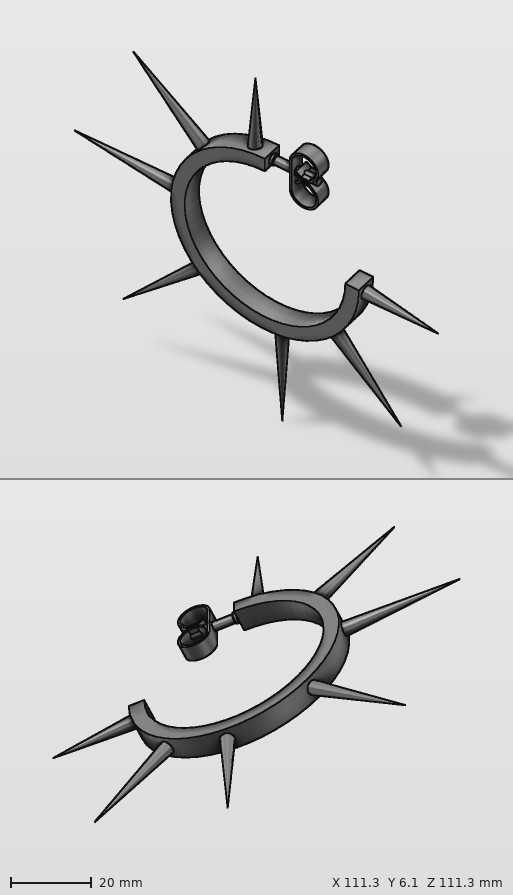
import cadquery as cq
import math

HOOP_OUTER_RADIUS = 28.8
HOOP_INNER_RADIUS = 24.6
HOOP_WIDTH = 6.1

SPIKE_RADIUS = 1.95
SPIKE_TIP_RADIUS = 0.06
SPIKE_SINK = 0.6
SPIKES = [
    ((-5.1, 28.3), (-5.1, 51.0)),
    ((-21.0, 19.7), (-42.5, 39.6)),
    ((-28.7, 1.3), (-60.4, 3.2)),
    ((-20.5, -20.4), (-45.5, -45.5)),
    ((3.1, -28.6), (3.1, -60.3)),
    ((19.5, -20.9), (39.5, -42.4)),
    ((28.5, -2.9), (50.9, -4.9)),
]

POST_HEIGHT = (HOOP_OUTER_RADIUS + HOOP_INNER_RADIUS) / 2
POST_RADIUS = 1.2
POST_LENGTH = 14.5
COLLAR_RADIUS = 1.6
COLLAR_LENGTH = 1.3
COLLAR_CHAMFER = 0.28

STRIP_THICKNESS = 0.7
CLUTCH_WIDTH = 4.5
LOOP_RADIUS = 4.06
LOOP_X = 11.4
LOOP_RISE = 4.6
LOOP_END_ANGLE = -35.0
NECK_RISE = 0.61
NECK_RIGHT_X = 13.0
NECK_LEFT_X = 10.3
LIP_X = 9.0
LIP_RISE = 1.7


def make_hoop():
    """Three-quarter ring, open in the +X +Z quarter."""
    ring = (
        cq.Workplane("XZ", origin=(0, HOOP_WIDTH / 2, 0))
        .circle(HOOP_OUTER_RADIUS)
        .circle(HOOP_INNER_RADIUS)
        .extrude(HOOP_WIDTH)
    )
    opening = cq.Workplane("XY").box(
        2 * HOOP_OUTER_RADIUS, 2 * HOOP_WIDTH, 2 * HOOP_OUTER_RADIUS, centered=(False, True, False)
    )
    return ring.cut(opening)


def make_spike(root, tip):
    """Tapered spike whose base is sunk slightly into the hoop."""
    root_point = cq.Vector(root[0], 0, root[1])
    axis = cq.Vector(tip[0], 0, tip[1]) - root_point
    direction = axis.normalized()
    base_point = root_point - direction * SPIKE_SINK
    length = axis.Length + SPIKE_SINK
    return cq.Solid.makeCone(SPIKE_RADIUS, SPIKE_TIP_RADIUS, length, base_point, direction)


def make_rod(radius, length):
    """Round rod on the post axis, starting at the hoop end face."""
    return cq.Workplane("YZ").center(0, POST_HEIGHT).circle(radius).extrude(length)


def make_earring():
    earring = make_hoop()
    for root, tip in SPIKES:
        earring = earring.union(cq.Workplane(obj=make_spike(root, tip)))
    collar = make_rod(COLLAR_RADIUS, COLLAR_LENGTH).faces("<X or >X").chamfer(COLLAR_CHAMFER)
    earring = earring.union(collar)
    return earring.union(make_rod(POST_RADIUS, POST_LENGTH))


def make_clutch():
    """Strip bent into a back plate, two loops and a pinched neck, bored for the post."""
    end_angle = math.radians(LOOP_END_ANGLE)
    loop_end_x = LOOP_X + LOOP_RADIUS * math.cos(end_angle)
    loop_end_rise = LOOP_RISE + LOOP_RADIUS * math.sin(end_angle)
    loop_top_rise = LOOP_RISE + LOOP_RADIUS
    plate_x = LOOP_X - LOOP_RADIUS
    strip = (
        cq.Workplane("XZ", origin=(0, CLUTCH_WIDTH / 2, POST_HEIGHT))
        .moveTo(LIP_X, LIP_RISE)
        .lineTo(NECK_LEFT_X, NECK_RISE)
        .lineTo(NECK_RIGHT_X, NECK_RISE)
        .lineTo(loop_end_x, loop_end_rise)
        .threePointArc((LOOP_X, loop_top_rise), (plate_x, LOOP_RISE))
        .lineTo(plate_x, -LOOP_RISE)
        .threePointArc((LOOP_X, -loop_top_rise), (loop_end_x, -loop_end_rise))
        .lineTo(NECK_RIGHT_X, -NECK_RISE)
        .lineTo(NECK_LEFT_X, -NECK_RISE)
        .lineTo(LIP_X, -LIP_RISE)
        .wire()
        .offset2D(STRIP_THICKNESS / 2)
        .extrude(CLUTCH_WIDTH)
    )
    return strip.cut(make_rod(POST_RADIUS, POST_LENGTH))


earring = make_earring()
clutch = make_clutch()
result = cq.Compound.makeCompound([earring.val(), clutch.val()])